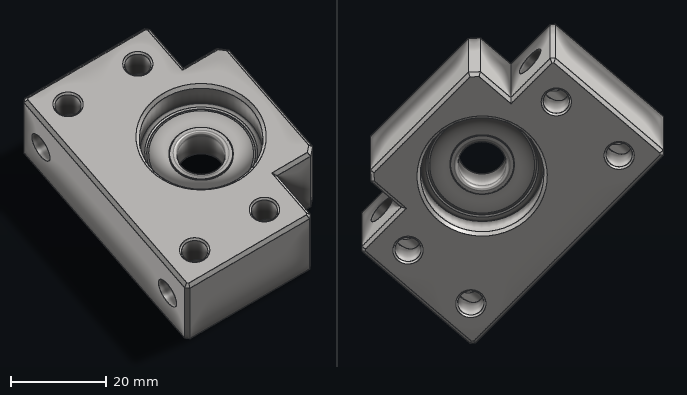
import cadquery as cq


width = 60.0
depth = 43.0
height = 20.0
base_depth = 32.5
tab_width = 34.0
front_y = -25.0
back_y = front_y + depth
mid_z = height / 2
base_corner_chamfer = 0.8
tab_corner_chamfer = 1.8
face_chamfer = 0.8
bore_chamfer = 0.7

hole_spacing_x = 46.0
hole_spacing_y = 18.0
vertical_hole_diameter = 5.5
vertical_hole_chamfer = 0.4
cross_hole_diameter = 6.6

bearing_diameter = 26.0
bearing_width = 8.0
outer_ring_radius = bearing_diameter / 2
outer_ring_inner_radius = 11.45
outer_edge_fillet = 0.3
outer_ring_lip_width = 0.4
outer_ring_lip_drop = 0.2
inner_ring_radius = 6.8
shaft_radius = 5.05
shaft_edge_fillet = 0.85
inner_ring_rim_step = 0.1
inner_ring_rim_depth = 0.5
shield_thickness = 0.9
shield_recess = 0.2
shield_rim_width = 0.4
shield_rim_drop = 0.2
bearing_bottom_z = mid_z - bearing_width / 2


def revolve_profile(profile):
    """Solid of revolution about the Z axis from a closed outline of (radius, z) points."""
    return cq.Workplane("XZ").polyline(profile).close().revolve(360, (0, 0), (0, 1))


def make_block():
    """T-shaped block with chamfered outer corners and chamfered top and bottom rims."""
    base = cq.Workplane("XY").box(width, base_depth, height, centered=(True, False, False))
    base = base.translate((0, front_y, 0)).edges("|Z").chamfer(base_corner_chamfer)
    tab = cq.Workplane("XY").box(tab_width, depth, height, centered=(True, False, False))
    tab = tab.translate((0, front_y, 0)).edges("|Z and >Y").chamfer(tab_corner_chamfer)
    block = base.union(tab).clean()
    return block.faces("<Z or >Z").edges().chamfer(face_chamfer)


def make_chamfered_hole_cutter(diameter, chamfer):
    """Full-height cylinder on the Z axis that flares out at the top and bottom faces."""
    radius = diameter / 2
    profile = [
        (0, 0),
        (radius + chamfer, 0),
        (radius, chamfer),
        (radius, height - chamfer),
        (radius + chamfer, height),
        (0, height),
    ]
    return revolve_profile(profile)


def make_housing():
    """Block with the bearing bore, four vertical holes and two holes through the depth."""
    housing = make_block().cut(make_chamfered_hole_cutter(bearing_diameter, bore_chamfer))
    vertical_hole = make_chamfered_hole_cutter(vertical_hole_diameter, vertical_hole_chamfer)
    for x in (-hole_spacing_x / 2, hole_spacing_x / 2):
        for y in (-hole_spacing_y, 0):
            housing = housing.cut(vertical_hole.translate((x, y, 0)))
        cross_hole = cq.Workplane("XZ", origin=(x, back_y, mid_z))
        housing = housing.cut(cross_hole.circle(cross_hole_diameter / 2).extrude(depth))
    return housing


def make_outer_ring():
    """Bearing outer ring: rounded outer edges and a sloped lip around each shield."""
    lip_radius = outer_ring_inner_radius + outer_ring_lip_width
    profile = [
        (outer_ring_radius, 0),
        (outer_ring_radius, bearing_width),
        (lip_radius, bearing_width),
        (outer_ring_inner_radius, bearing_width - outer_ring_lip_drop),
        (outer_ring_inner_radius, outer_ring_lip_drop),
        (lip_radius, 0),
    ]
    ring = revolve_profile(profile)
    ring = ring.edges(cq.selectors.RadiusNthSelector(-1)).fillet(outer_edge_fillet)
    return ring.translate((0, 0, bearing_bottom_z))


def make_inner_ring():
    """Bearing inner ring: stepped rims that clear the shields and rounded shaft bore edges."""
    rim_radius = inner_ring_radius - inner_ring_rim_step
    profile = [
        (shaft_radius, 0),
        (rim_radius, 0),
        (rim_radius, inner_ring_rim_depth),
        (inner_ring_radius, inner_ring_rim_depth),
        (inner_ring_radius, bearing_width - inner_ring_rim_depth),
        (rim_radius, bearing_width - inner_ring_rim_depth),
        (rim_radius, bearing_width),
        (shaft_radius, bearing_width),
    ]
    ring = revolve_profile(profile)
    ring = ring.edges(cq.selectors.RadiusNthSelector(0)).fillet(shaft_edge_fillet)
    return ring.translate((0, 0, bearing_bottom_z))


def make_shield():
    """Lower bearing shield: closes the gap between the rings and slopes off at its outer rim."""
    profile = [
        (inner_ring_radius, 0),
        (outer_ring_inner_radius - shield_rim_width, 0),
        (outer_ring_inner_radius, shield_rim_drop),
        (outer_ring_inner_radius, shield_thickness),
        (inner_ring_radius, shield_thickness),
    ]
    return revolve_profile(profile).translate((0, 0, bearing_bottom_z + shield_recess))


def make_shields():
    """A shield on each side of the bearing, the upper one mirrored about mid height."""
    lower_shield = make_shield()
    upper_shield = lower_shield.mirror("XY", (0, 0, mid_z))
    return [lower_shield, upper_shield]


housing = make_housing()
outer_ring = make_outer_ring()
inner_ring = make_inner_ring()
shields = make_shields()

bodies = [housing, outer_ring, inner_ring, *shields]
result = cq.Compound.makeCompound([body.solids().val() for body in bodies])